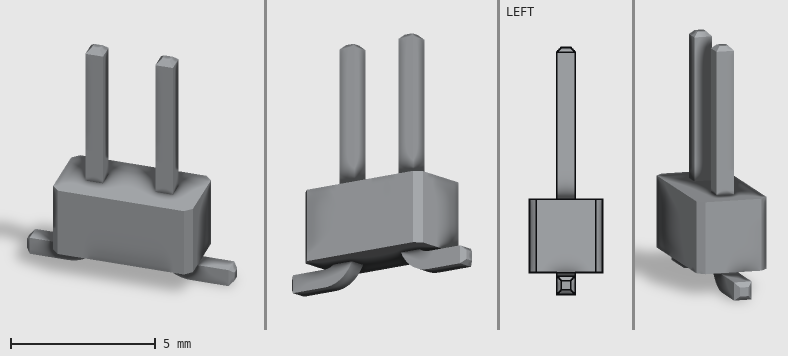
import cadquery as cq

pitch = 2.54
pin_count = 2
body_length = pin_count * pitch
body_width = 2.54
body_height = 2.54
body_corner_chamfer = 0.25
body_bottom = 0.76

pin_size = 0.64
pin_top = 8.54
foot_span = 7.54
bend_inner_radius = pin_size
bend_outer_radius = bend_inner_radius + pin_size
tip_chamfer = pin_size / 4


def make_body():
    block = cq.Workplane("XY").box(body_length, body_width, body_height, centered=(True, True, False))
    return block.edges("|Z").chamfer(body_corner_chamfer).translate((0, 0, body_bottom))


def make_tip():
    """Tapered pin end: base on the XY plane, pointing along +Z."""
    end_size = pin_size - 2 * tip_chamfer
    base = cq.Workplane("XY").rect(pin_size, pin_size)
    return base.workplane(offset=tip_chamfer).rect(end_size, end_size).loft()


def make_pin():
    """Right-hand pin, with its foot resting on Z = 0 and pointing along +X."""
    post_x = pitch / 2
    foot_end = foot_span / 2 - tip_chamfer
    post_end = pin_top - tip_chamfer
    bend_x = post_x - pin_size / 2 + bend_outer_radius
    bend_z = bend_outer_radius
    post = (
        cq.Workplane("XY", origin=(post_x, 0, bend_z))
        .rect(pin_size, pin_size)
        .extrude(post_end - bend_z)
    )
    bend = (
        cq.Workplane("XY", origin=(post_x, 0, bend_z))
        .rect(pin_size, pin_size)
        .revolve(90, (bend_x - post_x, 1, 0), (bend_x - post_x, 0, 0))
    )
    foot = (
        cq.Workplane("YZ", origin=(bend_x, 0, pin_size / 2))
        .rect(pin_size, pin_size)
        .extrude(foot_end - bend_x)
    )
    post_tip = make_tip().translate((post_x, 0, post_end))
    foot_tip = make_tip().rotate((0, 0, 0), (0, 1, 0), 90).translate((foot_end, 0, pin_size / 2))
    return post.union(bend).union(foot).union(post_tip).union(foot_tip)


right_pin = make_pin()
left_pin = right_pin.mirror("YZ")
result = make_body().union(right_pin).union(left_pin)